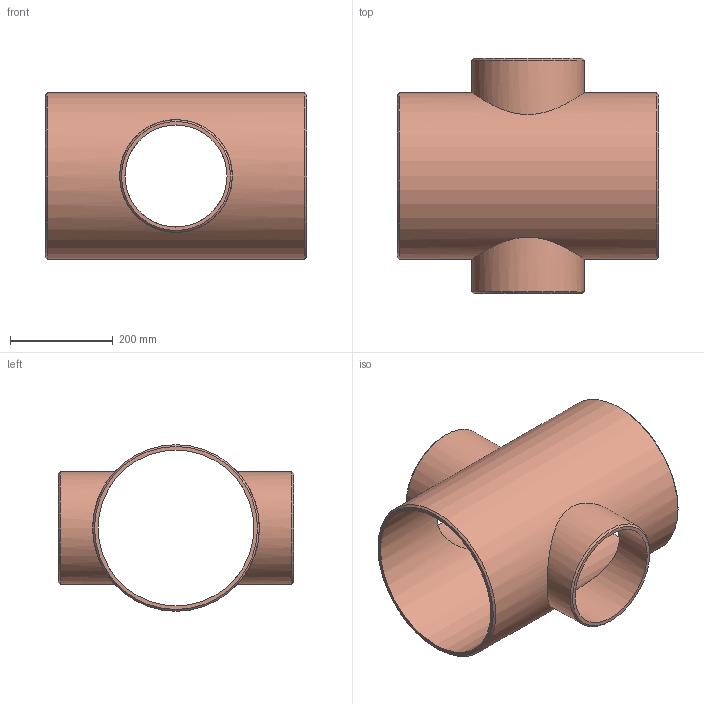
import cadquery as cq

run_length = 508.0
run_diameter = 323.85

branch_length = 457.2
branch_diameter = 219.075

wall = 10.31
end_chamfer = 3.5


def chamfered_bar(plane, length, diameter):
    """Solid round bar centred on the origin along the plane normal, with both outer rims chamfered."""
    bar = cq.Workplane(plane).circle(diameter / 2).extrude(length / 2, both=True)
    return bar.edges("%CIRCLE").chamfer(end_chamfer)


def bore(plane, length, diameter):
    """Round cutter for the inside of a pipe, running its full length."""
    return cq.Workplane(plane).circle(diameter / 2 - wall).extrude(length / 2, both=True)


pipes = [
    ("YZ", run_length, run_diameter),
    ("XZ", branch_length, branch_diameter),
]

result = cq.Workplane("XY")
for plane, length, diameter in pipes:
    result = result.union(chamfered_bar(plane, length, diameter))
for plane, length, diameter in pipes:
    result = result.cut(bore(plane, length, diameter))